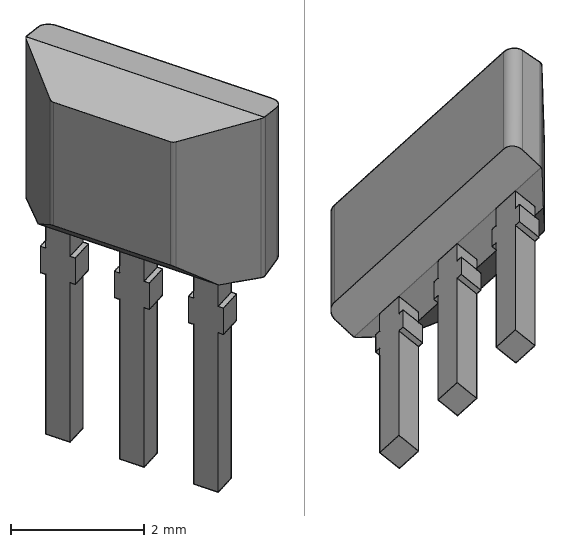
import cadquery as cq
import math


OVERALL_HEIGHT = 7.0

HOUSING_WIDTH = 4.1
HOUSING_HEIGHT = 3.0
BACK_DEPTH = 0.59
FRONT_DEPTH = 1.015
FLANK_DEPTH = 1.0
DRAFT_ANGLE = 10.0
FRONT_CHAMFER = 0.505
BACK_RADIUS = 0.2
FLANK_RADIUS = 0.105

LEAD_COUNT = 3
LEAD_PITCH = 1.275
LEAD_WIDTH = 0.42
LEAD_THICKNESS = 0.405
LEAD_LENGTH = OVERALL_HEIGHT - HOUSING_HEIGHT
COLLAR_WIDTH = 0.6
COLLAR_HEIGHT = 0.5
COLLAR_TOP = -0.5


def make_plan_prism():
    """Upright prism with the plan outline of the housing and rounded vertical edges."""
    half_width = HOUSING_WIDTH / 2
    front_half_width = half_width - FLANK_DEPTH
    flank_start = FLANK_DEPTH - FRONT_DEPTH
    prism = (
        cq.Workplane("XY")
        .polyline([
            (-half_width, BACK_DEPTH),
            (half_width, BACK_DEPTH),
            (half_width, flank_start),
            (front_half_width, -FRONT_DEPTH),
            (-front_half_width, -FRONT_DEPTH),
            (-half_width, flank_start),
        ])
        .close()
        .extrude(HOUSING_HEIGHT)
    )
    prism = prism.faces(">Y").edges("|Z").fillet(BACK_RADIUS)
    flank_edges = cq.selectors.BoxSelector(
        (-HOUSING_WIDTH, -FRONT_DEPTH - FLANK_RADIUS, 0),
        (HOUSING_WIDTH, FLANK_RADIUS, HOUSING_HEIGHT),
    )
    return prism.edges("|Z").edges(flank_edges).fillet(FLANK_RADIUS)


def make_side_prism():
    """Prism along X with the drafted and chamfered side outline of the housing."""
    draft_slope = math.tan(math.radians(DRAFT_ANGLE))
    back_drop = BACK_DEPTH * draft_slope
    front_drop = FRONT_DEPTH * draft_slope
    return (
        cq.Workplane("YZ")
        .polyline([
            (0, 0),
            (BACK_DEPTH, back_drop),
            (BACK_DEPTH, HOUSING_HEIGHT - back_drop),
            (0, HOUSING_HEIGHT),
            (-FRONT_DEPTH, HOUSING_HEIGHT - front_drop),
            (-FRONT_DEPTH, FRONT_CHAMFER),
            (-FRONT_DEPTH + FRONT_CHAMFER, 0),
        ])
        .close()
        .extrude(HOUSING_WIDTH / 2, both=True)
    )


def make_housing():
    """Moulded housing: the shape common to the plan and side outlines."""
    return make_plan_prism().intersect(make_side_prism()).solids().val()


def make_lead(center_x):
    """Straight flat lead with a wider collar, ending flush at the housing underside."""
    rear_aligned = (True, False, False)
    blade = cq.Workplane("XY").box(LEAD_WIDTH, LEAD_THICKNESS, LEAD_LENGTH, centered=rear_aligned)
    blade = blade.translate((0, 0, -LEAD_LENGTH))
    collar = cq.Workplane("XY").box(COLLAR_WIDTH, LEAD_THICKNESS, COLLAR_HEIGHT, centered=rear_aligned)
    collar = collar.translate((0, 0, COLLAR_TOP - COLLAR_HEIGHT))
    return blade.union(collar).translate((center_x, -LEAD_THICKNESS, 0)).solids().val()


housing = make_housing()

leads = []
for index in range(LEAD_COUNT):
    lead_x = (index - (LEAD_COUNT - 1) / 2) * LEAD_PITCH
    leads.append(make_lead(lead_x))

result = cq.Compound.makeCompound([housing, *leads])